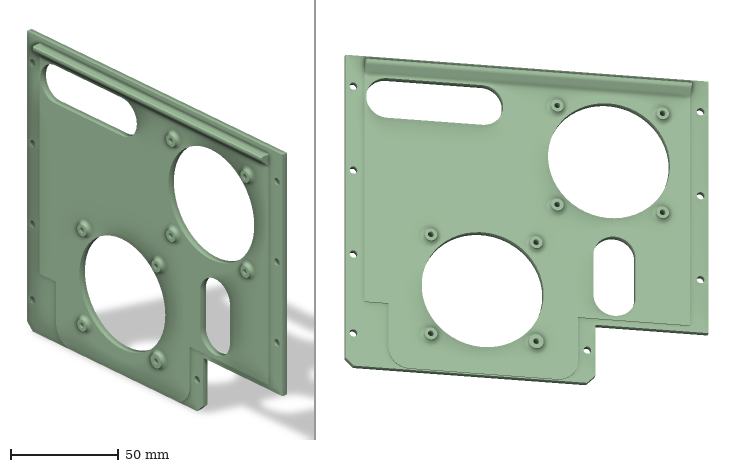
import cadquery as cq


plate_width = 172.5
plate_height = 156.8
plate_thickness = 3.0
leg_width = 118.7
leg_height = 29.7
leg_corner_chamfer = 4.0

panel_thickness = 0.6
panel_side_margin = 9.0
panel_edge_margin = 3.0
panel_bottom = leg_height + panel_edge_margin
panel_top = plate_height - panel_edge_margin
panel_right = plate_width - panel_side_margin
panel_width = panel_right - panel_side_margin
tongue_left = 20.4
tongue_right = 110.5
tongue_bottom = 0.5
tongue_corner_radius = 10.0

overall_depth = 7.8
lip_depth = overall_depth - plate_thickness
lip_nose_height = 2.0
lip_top_chamfer = 0.5
lip_underside_radius = 2.0

fan_opening_diameter = 58.0
boss_pitch = 50.0
lower_fan = (65.0, 43.0)
upper_fan = (lower_fan[0] + 60.0, lower_fan[1] + 69.9)
boss_height = 3.0
boss_diameter = 6.0
wide_boss_diameter = 7.0
boss_root_radius = 2.0
boss_hole_diameter = 2.8

slot_width = 20.0
cable_slot_length = 65.0
cable_slot_center = (42.3, 136.3)
upright_slot_length = 40.0
upright_slot_center = (127.7, 54.7)

mount_hole_diameter = 3.6
mount_hole_inset = 3.8
mount_hole_top = 141.3
mount_hole_pitch = 42.5
mount_rows = 3
leg_hole_height = 16.5


def front_plane(y=0.0):
    """XZ sketch plane at depth y; extruding goes toward -Y."""
    return cq.Workplane("XZ", origin=(0, y, 0))


def make_plate():
    outline = [
        (0, plate_height),
        (plate_width, plate_height),
        (plate_width, leg_height),
        (leg_width, leg_height),
        (leg_width, 0),
        (0, 0),
    ]
    plate = front_plane(plate_thickness).polyline(outline).close().extrude(plate_thickness)
    leg_corners = plate.edges("|Y").edges("<Z")
    return leg_corners.chamfer(leg_corner_chamfer)


def make_panel():
    outline = [
        (panel_side_margin, panel_top),
        (panel_right, panel_top),
        (panel_right, panel_bottom),
        (tongue_right, panel_bottom),
        (tongue_right, tongue_bottom),
        (tongue_left, tongue_bottom),
        (tongue_left, panel_bottom),
        (panel_side_margin, panel_bottom),
    ]
    panel = front_plane().polyline(outline).close().extrude(panel_thickness)
    return panel.edges("|Y").edges("<Z").fillet(tongue_corner_radius)


def add_lip(body):
    nose_bottom = panel_top - lip_nose_height
    profile = [
        (0, panel_top),
        (-lip_depth, panel_top),
        (-lip_depth, nose_bottom),
        (0, nose_bottom - lip_depth),
    ]
    lip = (
        cq.Workplane("YZ", origin=(panel_side_margin, 0, 0))
        .polyline(profile)
        .close()
        .extrude(panel_width)
    )
    lip = lip.edges("|X").edges("<Y").edges("<Z").fillet(lip_underside_radius)
    lip = lip.edges("|X").edges(">Z").edges("<Y").chamfer(lip_top_chamfer)
    root = (plate_width / 2, -panel_thickness, nose_bottom - lip_depth + panel_thickness)
    return body.union(lip).edges(cq.NearestToPointSelector(root)).fillet(lip_underside_radius)


def boss_centers(fan):
    half = boss_pitch / 2
    return [(fan[0] + i * half, fan[1] + j * half) for i in (-1, 1) for j in (-1, 1)]


def make_boss(center, diameter):
    """Round boss flaring into the panel through a concave fillet."""
    radius = diameter / 2
    flare_radius = radius + boss_root_radius
    flare_mid = boss_root_radius * (1 - 0.5 ** 0.5)
    flare_top = panel_thickness + boss_root_radius
    section = (
        cq.Workplane("XY")
        .moveTo(0, 0)
        .lineTo(flare_radius, 0)
        .lineTo(flare_radius, -panel_thickness)
        .threePointArc((radius + flare_mid, -panel_thickness - flare_mid), (radius, -flare_top))
        .lineTo(radius, -boss_height)
        .lineTo(0, -boss_height)
        .close()
    )
    boss = section.revolve(360, (0, 0, 0), (0, 1, 0))
    return boss.translate((center[0], 0, center[1]))


def through_cutter(sketch):
    """Extrude a sketch drawn on the back face through plate, panel and bosses."""
    return sketch.extrude(plate_thickness + overall_depth)


def round_holes(centers, diameter):
    return through_cutter(front_plane(plate_thickness).pushPoints(centers).circle(diameter / 2))


def slot(center, length, angle):
    return through_cutter(front_plane(plate_thickness).center(*center).slot2D(length, slot_width, angle))


def mount_hole_centers():
    right = plate_width - mount_hole_inset
    heights = [mount_hole_top - row * mount_hole_pitch for row in range(mount_rows)]
    centers = [(x, z) for x in (mount_hole_inset, right) for z in heights]
    leg_holes = [(x, leg_hole_height) for x in (mount_hole_inset, leg_width - mount_hole_inset)]
    return centers + leg_holes


body = add_lip(make_plate().union(make_panel()))

all_bosses = boss_centers(lower_fan) + boss_centers(upper_fan)
wide_boss = (lower_fan[0] + boss_pitch / 2, lower_fan[1] - boss_pitch / 2)
for boss_center in all_bosses:
    is_wide = boss_center == wide_boss
    body = body.union(make_boss(boss_center, wide_boss_diameter if is_wide else boss_diameter))

result = (
    body.cut(round_holes([lower_fan, upper_fan], fan_opening_diameter))
    .cut(round_holes(all_bosses, boss_hole_diameter))
    .cut(round_holes(mount_hole_centers(), mount_hole_diameter))
    .cut(slot(cable_slot_center, cable_slot_length, 0))
    .cut(slot(upright_slot_center, upright_slot_length, 90))
)